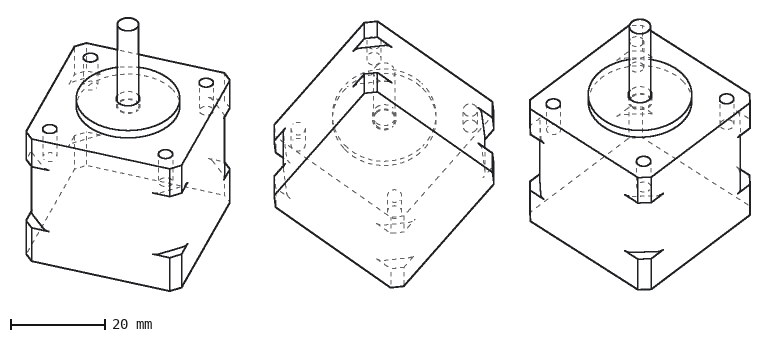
import cadquery as cq

side = 35.0
total_height = 55.0

rear_height = 9.0
core_height = 16.5
front_height = 7.5
boss_height = 2.0

core_base = rear_height
front_base = core_base + core_height
front_top = front_base + front_height

cover_chamfer = 2.0
core_chamfer = 5.0
core_corner_radius = 2.0

boss_diameter = 22.0
shaft_diameter = 4.5
bore_diameter = 5.0
hole_spacing = 26.0
hole_diameter = 3.0
hole_depth = front_height


def square_block(base, height, chamfer):
    """Square block standing on the given level, with its four corners cut off."""
    return (
        cq.Workplane("XY", origin=(0, 0, base))
        .rect(side, side)
        .extrude(height)
        .edges("|Z")
        .chamfer(chamfer)
    )


def make_housing():
    """Covers, core and pilot boss, with the shaft bore and the screw holes."""
    rear_cover = square_block(0, rear_height, cover_chamfer)
    core = square_block(core_base, core_height, core_chamfer).edges("|Z").fillet(core_corner_radius)
    front_cover = square_block(front_base, front_height, cover_chamfer)
    boss = cq.Workplane("XY", origin=(0, 0, front_top)).circle(boss_diameter / 2).extrude(boss_height)
    bore = cq.Workplane("XY", origin=(0, 0, front_top)).circle(bore_diameter / 2).extrude(boss_height)
    screw_holes = (
        cq.Workplane("XY", origin=(0, 0, front_top))
        .rect(hole_spacing, hole_spacing, forConstruction=True)
        .vertices()
        .circle(hole_diameter / 2)
        .extrude(-hole_depth)
    )
    return rear_cover.union(core).union(front_cover).union(boss).cut(bore).cut(screw_holes)


def make_shaft():
    """Plain round shaft that stands on the floor of the bore."""
    return (
        cq.Workplane("XY", origin=(0, 0, front_top))
        .circle(shaft_diameter / 2)
        .extrude(total_height - front_top)
    )


housing = make_housing()
shaft = make_shaft()

result = cq.Compound.makeCompound([housing.val(), shaft.val()])